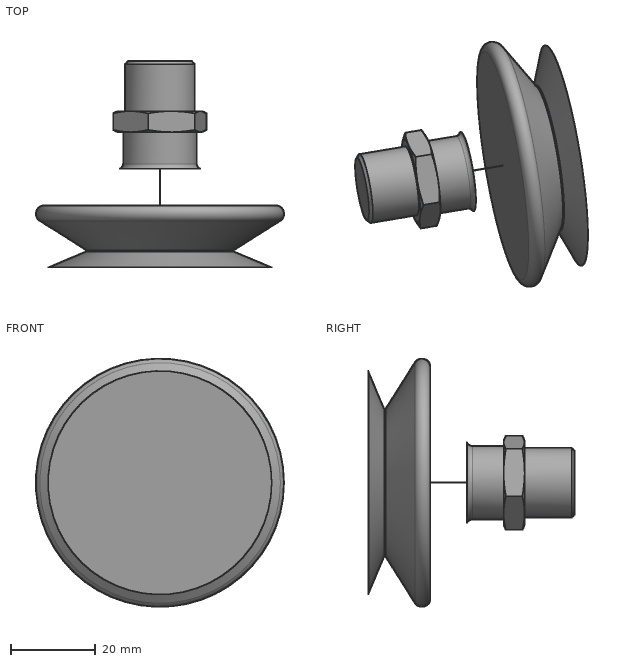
import cadquery as cq
import math


cup_radius = 29.5
lip_radius = 26.55
waist_radius = 17.6
waist_start = 3.8
waist_end = 4.15
cup_back = 14.75
rim_round = 2.0

flare_start = 23.4
flare_end = 24.65
hex_start = 32.15
hex_end = 37.1
fitting_end = 49.0

flare_radius = 9.55
flare_round = 1.5
body_radius = 17.5 / 2
thread_radius = 16.65 / 2
thread_chamfer = 0.75
hex_across_flats = 20.0
hex_turn = 44.0
hex_corner_chamfer = 0.55

core_radius = 0.05


def revolve_about_y(profile):
    return profile.close().revolve(360, (0, 0, 0), (0, 1, 0))


def cup():
    """Bellows cup whose rear cone runs tangentially into the rounded rim."""
    rim_x = cup_radius - rim_round
    rim_y = cup_back - rim_round
    reach = math.hypot(rim_x - waist_radius, rim_y - waist_end)
    to_centre = math.atan2(rim_y - waist_end, rim_x - waist_radius)
    cone_angle = to_centre - math.asin(rim_round / reach)
    tangent_x = rim_x + rim_round * math.sin(cone_angle)
    tangent_y = rim_y - rim_round * math.cos(cone_angle)
    profile = (
        cq.Workplane("XY")
        .moveTo(0, 0)
        .lineTo(lip_radius, 0)
        .lineTo(waist_radius, waist_start)
        .lineTo(waist_radius, waist_end)
        .lineTo(tangent_x, tangent_y)
        .threePointArc((cup_radius, rim_y), (rim_x, cup_back))
        .lineTo(0, cup_back)
    )
    return revolve_about_y(profile)


def fitting_body():
    """Flared body and chamfered thread cylinder."""
    profile = (
        cq.Workplane("XY")
        .moveTo(0, flare_start)
        .lineTo(flare_radius, flare_start)
        .radiusArc((body_radius, flare_end), flare_round)
        .lineTo(body_radius, hex_start)
        .lineTo(thread_radius, hex_start)
        .lineTo(thread_radius, fitting_end - thread_chamfer)
        .lineTo(thread_radius - thread_chamfer, fitting_end)
        .lineTo(0, fitting_end)
    )
    return revolve_about_y(profile)


def hexagon():
    """Hexagon whose corners are trimmed by a cone at each end."""
    flat_radius = hex_across_flats / 2
    corner_radius = flat_radius / math.cos(math.pi / 6)
    prism = (
        cq.Workplane("XZ", origin=(0, hex_start, 0))
        .polygon(6, 2 * corner_radius)
        .extrude(hex_start - hex_end)
        .rotate((0, 0, 0), (0, 1, 0), -hex_turn)
    )
    trim = (
        cq.Workplane("XY")
        .moveTo(0, hex_start)
        .lineTo(flat_radius, hex_start)
        .lineTo(corner_radius, hex_start + hex_corner_chamfer)
        .lineTo(corner_radius, hex_end - hex_corner_chamfer)
        .lineTo(flat_radius, hex_end)
        .lineTo(0, hex_end)
    )
    return prism.intersect(revolve_about_y(trim))


def core():
    return (
        cq.Workplane("XZ", origin=(0, cup_back, 0))
        .circle(core_radius)
        .extrude(cup_back - flare_start)
    )


result = cup().union(core()).union(fitting_body().union(hexagon()))